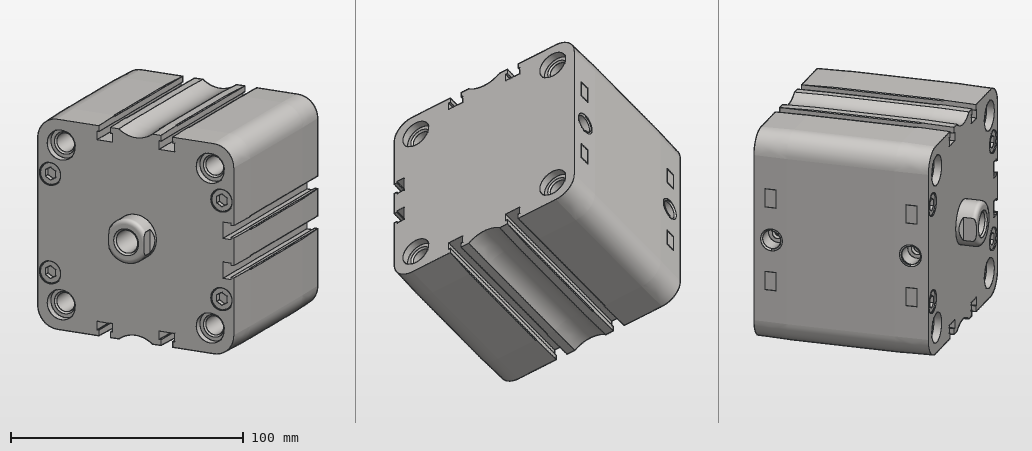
import cadquery as cq
import math

barrel_width = 95.5
corner_radius = 10.0
cap_length = 15.0
barrel_length = 49.0
body_length = barrel_length + 2 * cap_length
rod_length = 9.0
cap_draft = 1.4
half_width = barrel_width / 2

slot_opening = 5.6
slot_mouth = 6.4
slot_mouth_chamfer = (slot_mouth - slot_opening) / 2
slot_undercut = 7.4
top_slot_lip = 3.0
top_slot_depth = 6.8
side_slot_lip = 1.8
side_slot_depth = 5.6
top_slot_spacing = 30.0
side_slot_spacing = 18.0

channel_width = 16.0
channel_depth = 2.8

mount_spacing = 72.0
mount_counterbore = 13.5
mount_counterbore_depth = 3.5
mount_countersink = 10.11
mount_bore = 8.57

screw_x = 41.4
screw_z = 22.2
screw_pocket = 10.3
screw_head = 9.8
screw_pocket_depth = 1.5
screw_recess = 0.5
screw_hex = 5.0
screw_hex_depth = 3.0

port_offset = 8.0
port_mouth = 9.98
port_bore = 8.38
port_depth = 9.0
port_throat = 5.0
port_throat_depth = 12.0

label_length = 8.3
label_width = 4.9
label_offset = 7.6
label_z = 18.9
label_depth = 0.2

rod_diameter = 20.0
rod_rounding = 2.0
rod_flats = 17.0
rod_flat_length = 6.0
rod_thread_mouth = 12.0
rod_thread_bore = 10.3
rod_thread_depth = 20.0

SIGNS = (-1, 1)


def plane_at(y, facing=-1):
    """Plane normal to Y with local x along +/-X and local y along +Z."""
    return cq.Plane(origin=(0, y, 0), xDir=(-facing, 0, 0), normal=(0, facing, 0))


def disc_cutter(x, z, y, diameter, depth):
    """Cylinder that runs from y toward +Y."""
    return cq.Workplane(cq.Solid.makeCylinder(diameter / 2, depth, cq.Vector(x, y, z), cq.Vector(0, 1, 0)))


def cone_cutter(start, direction, mouth, bore):
    """45 degree countersink that opens at start and narrows along direction."""
    depth = (mouth - bore) / 2
    return cq.Workplane(
        cq.Solid.makeCone(mouth / 2, bore / 2, depth, cq.Vector(*start), cq.Vector(*direction))
    )


def section(y, facing):
    """Rounded square with a shallow arc channel in its top and bottom edges."""
    straight = half_width - corner_radius
    corner_mid = straight + corner_radius * math.sqrt(0.5)
    half_channel = channel_width / 2
    channel_bottom = half_width - channel_depth
    return (
        cq.Workplane(plane_at(y, facing))
        .moveTo(half_channel, half_width)
        .lineTo(straight, half_width)
        .threePointArc((corner_mid, corner_mid), (half_width, straight))
        .lineTo(half_width, -straight)
        .threePointArc((corner_mid, -corner_mid), (straight, -half_width))
        .lineTo(half_channel, -half_width)
        .threePointArc((0, -channel_bottom), (-half_channel, -half_width))
        .lineTo(-straight, -half_width)
        .threePointArc((-corner_mid, -corner_mid), (-half_width, -straight))
        .lineTo(-half_width, straight)
        .threePointArc((-corner_mid, corner_mid), (-straight, half_width))
        .lineTo(-half_channel, half_width)
        .threePointArc((0, channel_bottom), (half_channel, half_width))
        .close()
    )


def make_body():
    barrel_rear = body_length - cap_length
    barrel = section(cap_length, 1).extrude(barrel_length)
    front_cap = section(cap_length, -1).extrude(cap_length, taper=cap_draft)
    rear_cap = section(barrel_rear, 1).extrude(cap_length, taper=cap_draft)
    return barrel.union(front_cap).union(rear_cap)


def slot_cutter(offset, slot_lip, slot_depth):
    """T-slot along the body, opening through the +Z face at x = offset."""
    lip_z = half_width - slot_lip
    floor_z = half_width - slot_depth
    neck = (
        cq.Workplane("XY")
        .box(slot_opening, body_length, slot_depth, centered=(True, False, False))
        .translate((offset, 0, floor_z))
    )
    undercut = (
        cq.Workplane("XY")
        .box(slot_undercut, body_length, lip_z - floor_z, centered=(True, False, False))
        .translate((offset, 0, floor_z))
    )
    mouth = (
        cq.Workplane(plane_at(cap_length, 1))
        .polyline(
            [
                (offset - slot_mouth / 2, half_width),
                (offset + slot_mouth / 2, half_width),
                (offset + slot_opening / 2, half_width - slot_mouth_chamfer),
                (offset - slot_opening / 2, half_width - slot_mouth_chamfer),
            ]
        )
        .close()
        .extrude(body_length - cap_length)
    )
    return neck.union(undercut).union(mouth)


def turned(cutter, angle):
    return cutter.rotate((0, 0, 0), (0, 1, 0), angle)


def cut_slots(body):
    for side in SIGNS:
        slot = slot_cutter(side * top_slot_spacing / 2, top_slot_lip, top_slot_depth)
        body = body.cut(slot).cut(turned(slot, 180))
        side_slot = slot_cutter(side * side_slot_spacing / 2, side_slot_lip, side_slot_depth)
        body = body.cut(turned(side_slot, 90))
    return body


def cut_mounting_holes(body):
    for sx in SIGNS:
        for sz in SIGNS:
            x = sx * mount_spacing / 2
            z = sz * mount_spacing / 2
            rear_step = body_length - mount_counterbore_depth
            body = body.cut(disc_cutter(x, z, 0, mount_bore, body_length))
            body = body.cut(disc_cutter(x, z, 0, mount_counterbore, mount_counterbore_depth))
            body = body.cut(disc_cutter(x, z, rear_step, mount_counterbore, mount_counterbore_depth))
            for y, direction in ((mount_counterbore_depth, 1), (rear_step, -1)):
                body = body.cut(cone_cutter((x, y, z), (0, direction, 0), mount_countersink, mount_bore))
    return body


def cut_screws(body):
    """Socket screw heads set just below the front face, each in a pocket with a thin ring gap."""
    hex_across_corners = screw_hex / math.cos(math.pi / 6)
    for sx in SIGNS:
        for sz in SIGNS:
            x = sx * screw_x
            z = sz * screw_z
            head = disc_cutter(x, z, screw_recess, screw_head, screw_pocket_depth)
            body = body.cut(disc_cutter(x, z, 0, screw_pocket, screw_pocket_depth).cut(head))
            socket = (
                cq.Workplane(plane_at(0, 1))
                .polygon(6, hex_across_corners)
                .extrude(screw_hex_depth)
                .rotate((0, 0, 0), (0, 1, 0), 90)
                .translate((x, 0, z))
            )
            body = body.cut(socket)
    return body


def cut_ports_and_labels(body):
    for y in (port_offset, body_length - port_offset):
        draft_drop = (cap_length - port_offset) * math.tan(math.radians(cap_draft))
        face_x = draft_drop - half_width
        for diameter, depth in ((port_bore, port_depth), (port_throat, port_throat_depth)):
            axis_start = cq.Vector(-half_width, y, 0)
            body = body.cut(
                cq.Workplane(cq.Solid.makeCylinder(diameter / 2, depth, axis_start, cq.Vector(1, 0, 0)))
            )
        body = body.cut(cone_cutter((face_x, y, 0), (1, 0, 0), port_mouth, port_bore))
    for y in (label_offset, body_length - label_offset):
        drop = (cap_length - label_offset) * math.tan(math.radians(cap_draft))
        for side in SIGNS:
            label = cq.Workplane("XY").box(2 * (drop + label_depth), label_width, label_length)
            body = body.cut(label.translate((-half_width, y, side * label_z)))
    return body


def add_rod(body):
    rod_radius = rod_diameter / 2
    rod = disc_cutter(0, 0, -rod_length, rod_diameter, rod_length + cap_length)
    rod = rod.faces("<Y").edges().fillet(rod_rounding)
    flat_x = rod_flats / 2
    flat_end_y = rod_flat_length - rod_length
    flat_runout = rod_radius - flat_x
    for side in SIGNS:
        flat = (
            cq.Workplane("XY")
            .polyline(
                [
                    (side * flat_x, -rod_length),
                    (side * flat_x, flat_end_y),
                    (side * rod_radius, flat_end_y + flat_runout),
                    (side * rod_radius, -rod_length),
                ]
            )
            .close()
            .extrude(rod_radius, both=True)
        )
        rod = rod.cut(flat)
    body = body.union(rod)
    body = body.cut(disc_cutter(0, 0, -rod_length, rod_thread_bore, rod_thread_depth))
    return body.cut(cone_cutter((0, -rod_length, 0), (0, 1, 0), rod_thread_mouth, rod_thread_bore))


body = make_body()
body = cut_slots(body)
body = cut_mounting_holes(body)
body = cut_screws(body)
body = cut_ports_and_labels(body)
result = add_rod(body)